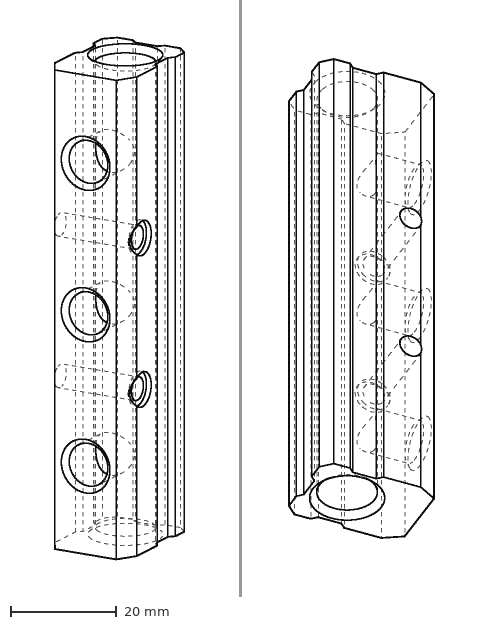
import cadquery as cq

length = 95.0
width = 18.0
depth = 24.0
half_width = width / 2
back_y = half_width
front_y = back_y - depth
front_flat_width = 13.4
front_bevel_depth = 3.8
back_chamfer = 2.1

groove_mouth = 6.9
groove_depth = 1.0
groove_floor = groove_mouth - 2 * groove_depth

bore_diameter = 11.5
bore_mouth_diameter = 14.25

port_pitch = 30.0
port_diameter = 8.5
port_mouth_diameter = 10.6

mount_diameter = 4.6
mount_y = front_y + 5.9
counterbore_diameter = 6.8
counterbore_depth = 1.0


def make_body():
    half_mouth = groove_mouth / 2
    half_floor = groove_floor / 2
    right_half = [
        (front_flat_width / 2, front_y),
        (half_width, front_y + front_bevel_depth),
        (half_width, -half_mouth),
        (half_width - groove_depth, -half_floor),
        (half_width - groove_depth, half_floor),
        (half_width, half_mouth),
        (half_width, back_y - back_chamfer),
        (half_width - back_chamfer, back_y),
        (half_mouth, back_y),
        (half_floor, back_y - groove_depth),
    ]
    left_half = [(-x, y) for x, y in reversed(right_half)]
    outline = cq.Workplane("XY").polyline(right_half + left_half).close()
    return outline.extrude(length / 2, both=True)


def cylinder(diameter, height, start, direction):
    return cq.Solid.makeCylinder(diameter / 2, height, cq.Vector(*start), cq.Vector(*direction))


def countersink(mouth_diameter, hole_diameter, start, direction):
    """Cone with 45 degree walls, narrowing from the mouth to the hole."""
    cone_depth = (mouth_diameter - hole_diameter) / 2
    return cq.Solid.makeCone(
        mouth_diameter / 2, hole_diameter / 2, cone_depth, cq.Vector(*start), cq.Vector(*direction)
    )


result = make_body()

result = result.cut(cylinder(bore_diameter, length, (0, 0, -length / 2), (0, 0, 1)))
for end in (-1, 1):
    mouth = (0, 0, end * length / 2)
    result = result.cut(countersink(bore_mouth_diameter, bore_diameter, mouth, (0, 0, -end)))

for step in (-1, 0, 1):
    mouth = (0, front_y, step * port_pitch)
    result = result.cut(cylinder(port_diameter, -front_y, mouth, (0, 1, 0)))
    result = result.cut(countersink(port_mouth_diameter, port_diameter, mouth, (0, 1, 0)))

for side in (-1, 1):
    mouth = (half_width, mount_y, side * port_pitch / 2)
    result = result.cut(cylinder(mount_diameter, width, mouth, (-1, 0, 0)))
    result = result.cut(cylinder(counterbore_diameter, counterbore_depth, mouth, (-1, 0, 0)))